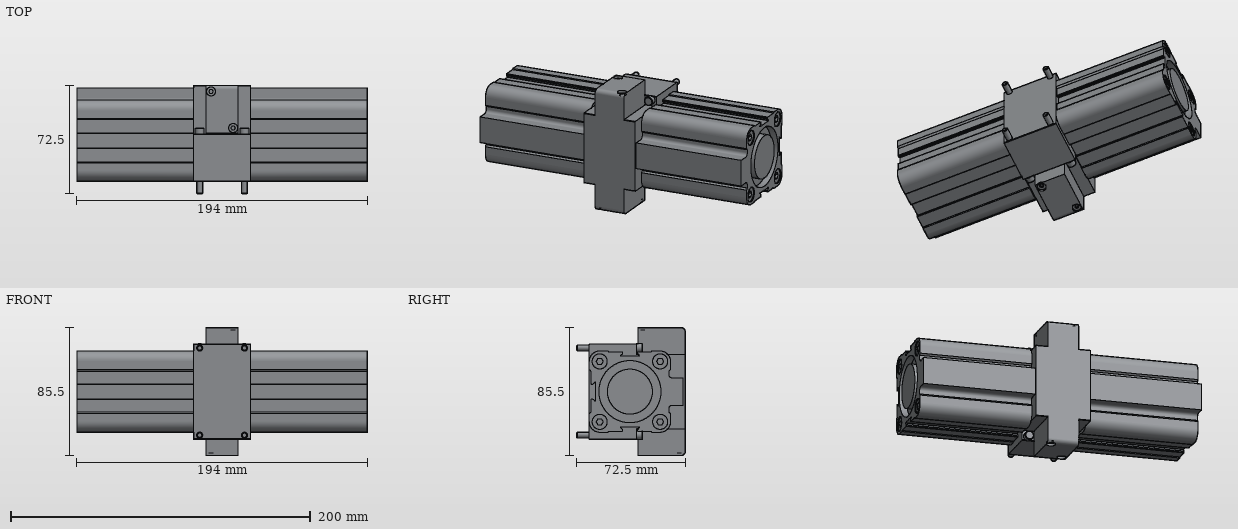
import cadquery as cq
import math

LENGTH = 194.0

HALF_SIDE = 27.2
CORNER_CENTER = 20.2
CORNER_RADIUS = HALF_SIDE - CORNER_CENTER
STEP_HALF_WIDTH = 14.7
SHALLOW_FACE = 26.5
DEEP_FACE = 26.0

SLOT_DEPTH = 3.0
SLOT_LIP = 1.2
SLOT_HALF_NECK = 4.8
SLOT_MOUTH_CHAMFER = 0.4
SLOT_HALF_FLOOR = 6.4

KEEL_HALF_WIDTH = 9.1
KEEL_Y = 35.3
KEEL_FILLET = 2.3

RING_OUTER_DIAMETER = 41.5
RING_INNER_DIAMETER = 30.0
RING_DEPTH = 4.8
END_SCREW_RECESS_DIAMETER = 10.0
END_SCREW_RECESS_DEPTH = 0.8
END_SCREW_SOCKET_FLATS = 4.0
END_SCREW_SOCKET_DEPTH = 3.0

BODY_WIDTH = 38.0
CLAMP_HALF_HEIGHT = 31.8
CLAMP_FRONT_Y = -27.4
CLAMP_BACK_Y = 4.5
BODY_HALF_HEIGHT = 24.8
BODY_BACK_Y = 37.0
EDGE_CHAMFER = 0.4
BOX_WIDTH = 21.5
BOX_HEIGHT = 85.5
BOX_FRONT_Y = 5.2
BOX_FILLET = 3.0

BOX_SCREW_X = 7.4
BOX_SCREW_BACK_Y = 33.0
BOX_SCREW_FRONT_Y = 8.5
BOX_SCREW_RECESS_DIAMETER = 6.0
BOX_SCREW_RECESS_DEPTH = 1.7
BOX_SCREW_SOCKET_FLATS = 2.5
BOX_SCREW_SOCKET_DEPTH = 3.5

BOLT_X = 15.0
BOLT_Z = 29.1
BOLT_DIAMETER = 4.0
BOLT_TIP_Y = -35.5
BOLT_HEAD_DIAMETER = 6.0
BOLT_HEAD_Y = 8.5
BOLT_TIP_CHAMFER = 0.5
BOLT_HEAD_CHAMFER = 0.4

SIGNS = (-1, 1)


def box_between(width, y_front, y_back, height):
    """Box centred on X and Z, spanning the given Y range."""
    depth = y_back - y_front
    return cq.Workplane("XY").box(width, depth, height).translate((0, (y_front + y_back) / 2, 0))


def prism_along_x(points):
    """Full-length prism from a closed (Y, Z) outline."""
    return cq.Workplane("YZ").polyline(points).close().extrude(LENGTH / 2, both=True)


def side_recess(face):
    """Shallow recess on the +Z side, with 45 degree ends, down to z = face."""
    floor_half_width = STEP_HALF_WIDTH - (HALF_SIDE - face)
    return prism_along_x([
        (-STEP_HALF_WIDTH, HALF_SIDE), (-floor_half_width, face),
        (floor_half_width, face), (STEP_HALF_WIDTH, HALF_SIDE),
    ])


def dovetail_slot(face):
    """Dovetail slot in the recessed +Z face at z = face."""
    lip = face - SLOT_LIP
    flare = lip - (SLOT_HALF_FLOOR - SLOT_HALF_NECK)
    floor = face - SLOT_DEPTH
    half_mouth = SLOT_HALF_NECK + SLOT_MOUTH_CHAMFER
    half = [
        (half_mouth, HALF_SIDE), (half_mouth, face),
        (SLOT_HALF_NECK, face - SLOT_MOUTH_CHAMFER), (SLOT_HALF_NECK, lip),
        (SLOT_HALF_FLOOR, flare), (SLOT_HALF_FLOOR, floor),
    ]
    return prism_along_x(half + [(-y, z) for y, z in reversed(half)])


def turn(shape, angle):
    """Rotate a shape about the X axis."""
    return shape.rotate((0, 0, 0), (1, 0, 0), angle)


def make_profile():
    side = 2 * HALF_SIDE
    profile = cq.Workplane("XY").box(LENGTH, side, side).edges("|X").fillet(CORNER_RADIUS)
    for angle in (0, 180):
        profile = profile.cut(turn(side_recess(SHALLOW_FACE), angle))
        profile = profile.cut(turn(dovetail_slot(SHALLOW_FACE), angle))
    for angle in (90, -90):
        profile = profile.cut(turn(side_recess(DEEP_FACE), angle))
    profile = profile.cut(turn(dovetail_slot(DEEP_FACE), 90))

    keel = box_between(LENGTH, 0, KEEL_Y, 2 * KEEL_HALF_WIDTH)
    profile = profile.union(keel)
    for z in SIGNS:
        root = cq.selectors.NearestToPointSelector((0, DEEP_FACE, z * KEEL_HALF_WIDTH))
        profile = profile.edges("|X").edges(root).fillet(KEEL_FILLET)
    return profile


def screw_recesses(plane, points, diameter, depth, flats, socket_depth):
    """Round recesses with a hexagon socket in the middle, at the points on a plane."""
    recesses = cq.Workplane(plane).pushPoints(points).circle(diameter / 2).extrude(depth)
    across_corners = 2 * flats / math.sqrt(3)
    sockets = cq.Workplane(plane).pushPoints(points).polygon(6, across_corners)
    return recesses.union(sockets.extrude(socket_depth))


def cut_end_face(profile, end):
    """Ring groove and four recessed corner screws in the +X (end = 1) or -X (end = -1) face."""
    plane = cq.Plane.named("YZ", origin=(end * LENGTH / 2, 0, 0))
    ring = cq.Workplane(plane).circle(RING_OUTER_DIAMETER / 2).circle(RING_INNER_DIAMETER / 2)
    corners = [(y * CORNER_CENTER, z * CORNER_CENTER) for y in SIGNS for z in SIGNS]
    screws = screw_recesses(
        plane, corners,
        END_SCREW_RECESS_DIAMETER, -end * END_SCREW_RECESS_DEPTH,
        END_SCREW_SOCKET_FLATS, -end * END_SCREW_SOCKET_DEPTH,
    )
    return profile.cut(ring.extrude(-end * RING_DEPTH)).cut(screws)


def make_middle_body():
    clamp = box_between(BODY_WIDTH, CLAMP_FRONT_Y, CLAMP_BACK_Y, 2 * CLAMP_HALF_HEIGHT)
    clamp = clamp.edges("|X").chamfer(EDGE_CHAMFER)
    body = box_between(BODY_WIDTH, 0, BODY_BACK_Y, 2 * BODY_HALF_HEIGHT)
    body = body.edges("|X and >Y").chamfer(EDGE_CHAMFER)
    box = box_between(BOX_WIDTH, BOX_FRONT_Y, BODY_BACK_Y, BOX_HEIGHT)
    box = box.edges("|X and >Y").fillet(BOX_FILLET)
    for end in SIGNS:
        box = cut_box_screws(box, end)
    return clamp.union(body).union(box)


def cut_box_screws(box, end):
    """Two diagonal screws in the top (end = 1) or bottom (end = -1) of the box."""
    points = [(-end * BOX_SCREW_X, BOX_SCREW_BACK_Y), (end * BOX_SCREW_X, BOX_SCREW_FRONT_Y)]
    plane = cq.Plane.named("XY", origin=(0, 0, end * BOX_HEIGHT / 2))
    screws = screw_recesses(
        plane, points,
        BOX_SCREW_RECESS_DIAMETER, -end * BOX_SCREW_RECESS_DEPTH,
        BOX_SCREW_SOCKET_FLATS, -end * BOX_SCREW_SOCKET_DEPTH,
    )
    return box.cut(screws)


def make_bolt(x, z):
    """Clamp bolt: head behind the clamp block, tip in front of it."""
    head = cq.Workplane("XZ", origin=(x, BOLT_HEAD_Y, z)).circle(BOLT_HEAD_DIAMETER / 2)
    head = head.extrude(BOLT_HEAD_Y - CLAMP_BACK_Y).faces(">Y").chamfer(BOLT_HEAD_CHAMFER)
    shank = cq.Workplane("XZ", origin=(x, CLAMP_BACK_Y, z)).circle(BOLT_DIAMETER / 2)
    shank = shank.extrude(CLAMP_BACK_Y - BOLT_TIP_Y).faces("<Y").chamfer(BOLT_TIP_CHAMFER)
    return head.union(shank)


profile = make_profile()
for end in SIGNS:
    profile = cut_end_face(profile, end)

gap = cq.Workplane("XY").box(BODY_WIDTH, BOX_HEIGHT, BOX_HEIGHT)
result = profile.cut(gap).union(make_middle_body())

for x in SIGNS:
    for z in SIGNS:
        result = result.union(make_bolt(x * BOLT_X, z * BOLT_Z))